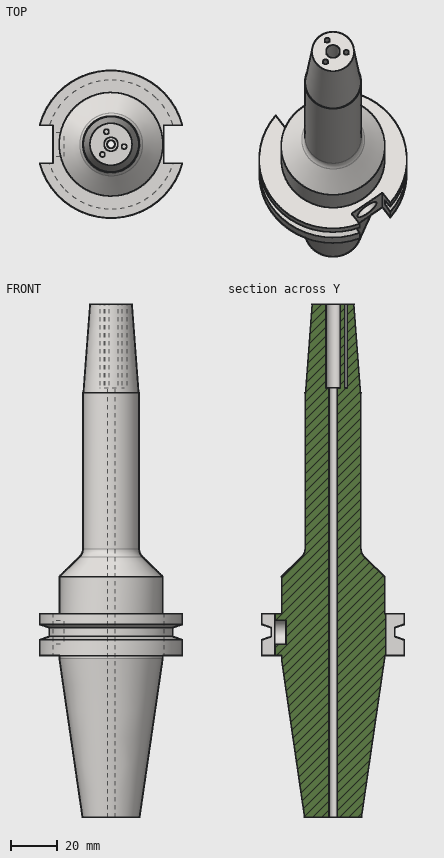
import cadquery as cq
import math

TOTAL_HEIGHT = 220.6
TAPER_TOP = 68.5
FLANGE_BOTTOM = 69.5
FLANGE_TOP = 87.5
BODY_TOP = 103.5
NECK_BLEND_BOTTOM = 112.0
NECK_BLEND_TOP = 115.5
NOSE_BOTTOM = 182.5

BODY_RADIUS = 22.3
TAPER_RATIO = 7 / 24
TAPER_END_RADIUS = BODY_RADIUS - TAPER_TOP * TAPER_RATIO / 2
FLANGE_RADIUS = 31.8
NECK_RADIUS = 12.1
NOSE_RADIUS = 9.0
NOSE_BASE_RADIUS = 12.0

SHOULDER_ANGLE = math.radians(45)
NECK_BLEND_RADIUS = (NECK_BLEND_TOP - NECK_BLEND_BOTTOM) / math.sin(SHOULDER_ANGLE)
SHOULDER_TOP_RADIUS = NECK_RADIUS + NECK_BLEND_RADIUS * (1 - math.cos(SHOULDER_ANGLE))
BLEND_MIDDLE = (
    NECK_RADIUS + NECK_BLEND_RADIUS * (1 - math.cos(SHOULDER_ANGLE / 2)),
    NECK_BLEND_TOP - NECK_BLEND_RADIUS * math.sin(SHOULDER_ANGLE / 2),
)

GROOVE_FLOOR_RADIUS = 27.8
GROOVE_CENTER = 79.7
GROOVE_MOUTH_WIDTH = 6.6
GROOVE_FLOOR_WIDTH = 3.8

SLOT_WIDTH = 16.3
SLOT_FACE_NEGATIVE_X = 25.0
SLOT_FACE_POSITIVE_X = 22.7
POCKET_DIAMETER = 10.1
POCKET_DEPTH = 4.6

TOOL_BORE_DIAMETER = 6.0
TOOL_BORE_DEPTH = 36.0
THROUGH_BORE_DIAMETER = 3.3
COOLANT_HOLE_DIAMETER = 2.2
COOLANT_HOLE_DEPTH = 36.0
COOLANT_CIRCLE_RADIUS = 5.7
COOLANT_HOLE_COUNT = 3
COOLANT_START_ANGLE = -10


def turned_body():
    """Taper, flange, body, shoulder, neck and nose turned about Z."""
    profile = (
        cq.Workplane("XZ")
        .lineTo(TAPER_END_RADIUS, 0)
        .lineTo(BODY_RADIUS, TAPER_TOP)
        .lineTo(BODY_RADIUS, FLANGE_BOTTOM)
        .lineTo(FLANGE_RADIUS, FLANGE_BOTTOM)
        .lineTo(FLANGE_RADIUS, FLANGE_TOP)
        .lineTo(BODY_RADIUS, FLANGE_TOP)
        .lineTo(BODY_RADIUS, BODY_TOP)
        .lineTo(SHOULDER_TOP_RADIUS, NECK_BLEND_BOTTOM)
        .threePointArc(BLEND_MIDDLE, (NECK_RADIUS, NECK_BLEND_TOP))
        .lineTo(NECK_RADIUS, NOSE_BOTTOM)
        .lineTo(NOSE_BASE_RADIUS, NOSE_BOTTOM)
        .lineTo(NOSE_RADIUS, TOTAL_HEIGHT)
        .lineTo(0, TOTAL_HEIGHT)
        .close()
    )
    return profile.revolve(360, (0, 0, 0), (0, 1, 0))


def gripper_groove():
    """Ring with a flat floor and sloped walls."""
    mouth = GROOVE_MOUTH_WIDTH / 2
    floor = GROOVE_FLOOR_WIDTH / 2
    section = [
        (FLANGE_RADIUS, GROOVE_CENTER - mouth),
        (GROOVE_FLOOR_RADIUS, GROOVE_CENTER - floor),
        (GROOVE_FLOOR_RADIUS, GROOVE_CENTER + floor),
        (FLANGE_RADIUS, GROOVE_CENTER + mouth),
    ]
    return cq.Workplane("XZ").polyline(section).close().revolve(360, (0, 0, 0), (0, 1, 0))


def drive_slot(face_distance, side):
    """Slot through the flange height; side is -1 for -X and +1 for +X."""
    depth = FLANGE_RADIUS - face_distance
    center_x = side * (face_distance + depth / 2)
    return (
        cq.Workplane("XY", origin=(center_x, 0, FLANGE_BOTTOM))
        .rect(depth, SLOT_WIDTH)
        .extrude(FLANGE_TOP - FLANGE_BOTTOM)
    )


def slot_pocket():
    """Blind round pocket in the face of the -X drive slot."""
    return (
        cq.Workplane("YZ", origin=(-SLOT_FACE_NEGATIVE_X, 0, GROOVE_CENTER))
        .circle(POCKET_DIAMETER / 2)
        .extrude(POCKET_DEPTH)
    )


def nose_workplane():
    return cq.Workplane("XY", origin=(0, 0, TOTAL_HEIGHT))


def bores():
    """Stepped central bore and the coolant holes around it."""
    through = nose_workplane().circle(THROUGH_BORE_DIAMETER / 2).extrude(-TOTAL_HEIGHT)
    tool_bore = nose_workplane().circle(TOOL_BORE_DIAMETER / 2).extrude(-TOOL_BORE_DEPTH)
    coolant = (
        nose_workplane()
        .polarArray(COOLANT_CIRCLE_RADIUS, COOLANT_START_ANGLE, 360, COOLANT_HOLE_COUNT)
        .circle(COOLANT_HOLE_DIAMETER / 2)
        .extrude(-COOLANT_HOLE_DEPTH)
    )
    return through.union(tool_bore).union(coolant)


result = (
    turned_body()
    .cut(gripper_groove())
    .cut(drive_slot(SLOT_FACE_NEGATIVE_X, -1))
    .cut(drive_slot(SLOT_FACE_POSITIVE_X, 1))
    .cut(slot_pocket())
    .cut(bores())
)